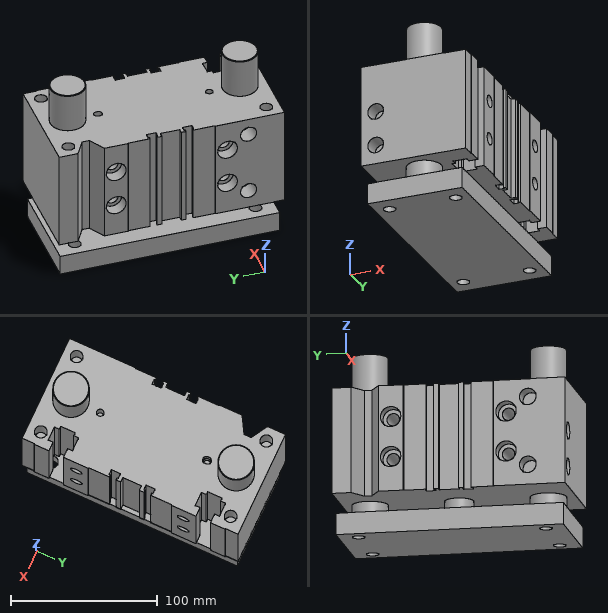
import cadquery as cq

PLATE_THICKNESS = 15.0
HOUSING_BOTTOM = 28.0
HOUSING_TOP = 102.0
ROD_TOP = 131.5
HOUSING_HEIGHT = HOUSING_TOP - HOUSING_BOTTOM

HOUSING_LENGTH = 162.0
HOUSING_WIDTH = 78.0
FACE_STEP = 0.5
CENTRE_BAND_LENGTH = 61.9
END_BAND_START = 71.6
SIDE_X = HOUSING_WIDTH / 2
BAND_X = SIDE_X - FACE_STEP

CHANNEL_WIDTH = 14.0
CHANNEL_FLOOR_X = 35.0
GROOVE_Y = 13.0
GROOVE_MOUTH_WIDTH = 5.0
GROOVE_INNER_WIDTH = 6.8
GROOVE_LIP_X = 36.8
GROOVE_FLOOR_X = 33.2

T_SLOT_Y = 55.0
T_SLOT_MOUTH_WIDTH = 10.9
T_SLOT_INNER_WIDTH = 18.1
T_SLOT_LIP_X = 32.2
T_SLOT_SHOULDER_X = 22.2
T_SLOT_FLOOR_X = 20.0

NOTCH_Y = 58.0
NOTCH_MOUTH_WIDTH = 19.0
NOTCH_FLOOR_WIDTH = 5.2
NOTCH_FLOOR_X = 27.2

ROD_DIAMETER = 25.0
ROD_Y = 61.9
ROD_CHAMFER = 0.5
PISTON_ROD_DIAMETER = 20.0
PLATE_WIDTH = 70.0
PLATE_LENGTH = 158.0
PLATE_HOLE_DIAMETER = 8.6
PLATE_HOLE_X = 24.5
PLATE_HOLE_Y = 65.0

CORNER_HOLE_DIAMETER = 8.6
CORNER_HOLE_DEPTH = 17.8
CORNER_HOLE_X = 29.2
CORNER_HOLE_Y = 71.1
LOCATING_WIDTH = 5.0
LOCATING_SLOT_LENGTH = 6.0
LOCATING_SLOT_DEPTH = 5.0
LOCATING_DEPTH = 10.0
LOCATING_Y = 40.0

MOUNT_Y = 40.0
MOUNT_LEVELS = (52.0, 80.0)
MOUNT_DIAMETER = 8.6
COUNTERBORE_DIAMETER = 14.1
COUNTERBORE_DEPTH = 9.0

PORT_DIAMETER = 11.5
PORT_DEPTH = 13.0
SIDE_PORT_Y = -T_SLOT_Y
SIDE_PORT_LEVELS = (42.0, 89.6)
END_PORT_X = -28.0
END_PORT_LEVELS = (42.0, 67.0)


def housing_cut(x_start, x_end, y_centre, width):
    """Full-height rectangular cutter between two X positions, centred on y_centre."""
    return (
        cq.Workplane("XY", origin=((x_start + x_end) / 2, y_centre, HOUSING_BOTTOM))
        .rect(abs(x_end - x_start), width)
        .extrude(HOUSING_HEIGHT)
    )


def vertical_hole(x, y, diameter, top, depth):
    """Cylinder reaching down from the level `top`."""
    return cq.Workplane("XY", origin=(x, y, top)).circle(diameter / 2).extrude(-depth)


def side_hole(y, z, diameter, depth):
    """Cylinder entering the -X face."""
    return cq.Workplane("YZ", origin=(-SIDE_X, y, z)).circle(diameter / 2).extrude(depth)


def centre_band_cut(side):
    """Cutter for the middle band of one side face, sloping up to the face at both ends."""
    floor_end = CENTRE_BAND_LENGTH / 2
    mouth_end = floor_end + FACE_STEP
    return (
        cq.Workplane("XY", origin=(0, 0, HOUSING_BOTTOM))
        .polyline([
            (side * SIDE_X, -mouth_end),
            (side * BAND_X, -floor_end),
            (side * BAND_X, floor_end),
            (side * SIDE_X, mouth_end),
        ])
        .close()
        .extrude(HOUSING_HEIGHT)
    )


def cut_side_profile(body):
    """Recessed bands, open channels and sensor grooves of both side faces."""
    for side in (-1, 1):
        outer_x = side * SIDE_X
        body = body.cut(centre_band_cut(side))
        body = body.cut(housing_cut(outer_x, side * CHANNEL_FLOOR_X, 0, CHANNEL_WIDTH))
        for groove_y in (-GROOVE_Y, GROOVE_Y):
            body = body.cut(housing_cut(outer_x, side * GROOVE_LIP_X, groove_y, GROOVE_MOUTH_WIDTH))
            body = body.cut(
                housing_cut(side * GROOVE_LIP_X, side * GROOVE_FLOOR_X, groove_y, GROOVE_INNER_WIDTH)
            )
    return body


def cut_end_bands(body):
    """Shallow steps at both ends of the +X face."""
    band_length = HOUSING_LENGTH / 2 - END_BAND_START
    band_y = END_BAND_START + band_length / 2
    for y in (-band_y, band_y):
        body = body.cut(housing_cut(BAND_X, SIDE_X, y, band_length))
    return body


def cut_t_slots(body):
    """T-slots in the +X face, with a relief groove behind the wide part."""
    for y in (-T_SLOT_Y, T_SLOT_Y):
        body = body.cut(housing_cut(T_SLOT_FLOOR_X, SIDE_X, y, T_SLOT_MOUTH_WIDTH))
        body = body.cut(housing_cut(T_SLOT_SHOULDER_X, T_SLOT_LIP_X, y, T_SLOT_INNER_WIDTH))
    return body


def cut_v_notch(body):
    """Flat-bottomed V-notch in the -X face."""
    notch = (
        cq.Workplane("XY", origin=(0, NOTCH_Y, HOUSING_BOTTOM))
        .polyline([
            (-SIDE_X, -NOTCH_MOUTH_WIDTH / 2),
            (-NOTCH_FLOOR_X, -NOTCH_FLOOR_WIDTH / 2),
            (-NOTCH_FLOOR_X, NOTCH_FLOOR_WIDTH / 2),
            (-SIDE_X, NOTCH_MOUTH_WIDTH / 2),
        ])
        .close()
        .extrude(HOUSING_HEIGHT)
    )
    return body.cut(notch)


def cut_top_holes(body):
    """Guide rod bores, corner holes and two locating holes, one of them widened to a slot."""
    for y_side in (-1, 1):
        body = body.cut(vertical_hole(0, y_side * ROD_Y, ROD_DIAMETER, HOUSING_TOP, HOUSING_HEIGHT))
        body = body.cut(vertical_hole(0, y_side * LOCATING_Y, LOCATING_WIDTH, HOUSING_TOP, LOCATING_DEPTH))
        for x_side in (-1, 1):
            body = body.cut(vertical_hole(
                x_side * CORNER_HOLE_X, y_side * CORNER_HOLE_Y,
                CORNER_HOLE_DIAMETER, HOUSING_TOP, CORNER_HOLE_DEPTH,
            ))
    locating_slot = (
        cq.Workplane("XY", origin=(0, LOCATING_Y, HOUSING_TOP))
        .slot2D(LOCATING_SLOT_LENGTH, LOCATING_WIDTH, 90)
        .extrude(-LOCATING_SLOT_DEPTH)
    )
    return body.cut(locating_slot)


def cut_mounting_holes(body):
    """Through holes along X, counterbored from the -X face."""
    for y in (-MOUNT_Y, MOUNT_Y):
        for z in MOUNT_LEVELS:
            body = body.cut(side_hole(y, z, MOUNT_DIAMETER, HOUSING_WIDTH))
            body = body.cut(side_hole(y, z, COUNTERBORE_DIAMETER, COUNTERBORE_DEPTH))
    return body


def cut_ports(body):
    """Blind air ports in the -X face and in the -Y end."""
    for z in SIDE_PORT_LEVELS:
        body = body.cut(side_hole(SIDE_PORT_Y, z, PORT_DIAMETER, PORT_DEPTH))
    for z in END_PORT_LEVELS:
        end_port = (
            cq.Workplane("XZ", origin=(END_PORT_X, -HOUSING_LENGTH / 2, z))
            .circle(PORT_DIAMETER / 2)
            .extrude(-PORT_DEPTH)
        )
        body = body.cut(end_port)
    return body


def make_housing():
    """Cylinder housing with its grooves, slots, bores and ports."""
    body = (
        cq.Workplane("XY", origin=(0, 0, HOUSING_BOTTOM))
        .rect(HOUSING_WIDTH, HOUSING_LENGTH)
        .extrude(HOUSING_HEIGHT)
    )
    body = cut_side_profile(body)
    body = cut_end_bands(body)
    body = cut_t_slots(body)
    body = cut_v_notch(body)
    body = cut_top_holes(body)
    body = cut_mounting_holes(body)
    return cut_ports(body)


def make_slide():
    """Tool plate carrying the two guide rods and the piston rod."""
    plate = cq.Workplane("XY").rect(PLATE_WIDTH, PLATE_LENGTH).extrude(PLATE_THICKNESS)
    for x in (-PLATE_HOLE_X, PLATE_HOLE_X):
        for y in (-PLATE_HOLE_Y, PLATE_HOLE_Y):
            plate = plate.cut(vertical_hole(x, y, PLATE_HOLE_DIAMETER, PLATE_THICKNESS, PLATE_THICKNESS))
    for y in (-ROD_Y, ROD_Y):
        rod = vertical_hole(0, y, ROD_DIAMETER, ROD_TOP, ROD_TOP).faces(">Z").chamfer(ROD_CHAMFER)
        plate = plate.union(rod)
    return plate.union(vertical_hole(0, 0, PISTON_ROD_DIAMETER, HOUSING_BOTTOM, HOUSING_BOTTOM))


housing = make_housing()
slide = make_slide()
result = cq.Compound.makeCompound([housing.val(), slide.val()])